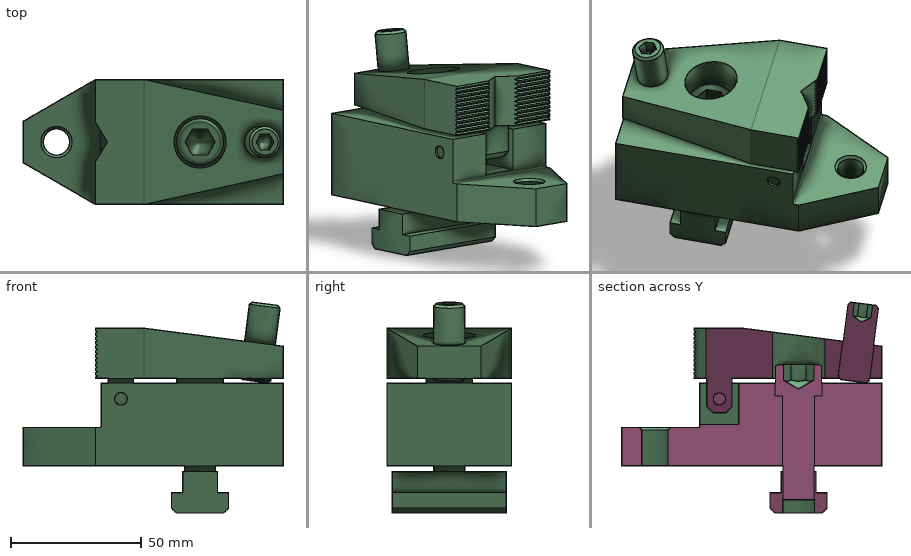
import cadquery as cq
import math


LENGTH = 100.0
WIDTH = 48.0
BASE_HEIGHT = 31.9
FOOT_HEIGHT = 14.8
NOSE_WIDTH = 16.0
NOSE_ANGLE = 30.0
BLOCK_FRONT_X = 30.0
CORNER_RADIUS = 0.6
FOOT_HOLE_X = 12.8
FOOT_HOLE_DIAMETER = 10.0
FOOT_HOLE_CHAMFER = 1.0
SLOT_WIDTH = 14.0
SLOT_FLOOR_Z = 16.0
SLOT_BACK_X = 45.0
NOSE_LENGTH = (WIDTH - NOSE_WIDTH) / 2 / math.tan(math.radians(NOSE_ANGLE))

PIN_X = 37.6
PIN_Z = 25.8
PIN_DIAMETER = 4.9
PIN_RECESS = 0.8
PIN_LENGTH = WIDTH - 2 * PIN_RECESS

JAW_BOTTOM_Z = 33.7
JAW_TOP_Z = 53.0
JAW_FRONT_X = NOSE_LENGTH
TAPER_START_X = 46.5
JAW_REAR_WIDTH = 24.4
SLOPE_ANGLE = 7.4
JAW_REAR_Z = JAW_TOP_Z - (LENGTH - TAPER_START_X) * math.tan(math.radians(SLOPE_ANGLE))
NOTCH_WIDTH = 15.2
NOTCH_DEPTH = 4.7
TONGUE_LENGTH = 9.8
TONGUE_CHAMFER = 2.5
TONGUE_BOTTOM_Z = 20.4

GROOVE_COUNT = 11
GROOVE_PITCH = 1.7
GROOVE_DEPTH = 0.7
GROOVE_MOUTH = 1.1
TOP_GROOVE_DROP = 1.4

SCREW_X = 68.0
SCREW_DIAMETER = 12.0
HEAD_DIAMETER = 18.0
HEAD_HEIGHT = 12.0
HEAD_SEAT_Z = 27.0
HEAD_FILLET = 1.2
HEAD_HEX_WIDTH = 10.0
HEAD_SOCKET_DEPTH = 6.0
HEAD_ACCESS_DIAMETER = 20.0
SCREW_LENGTH = 40.0
SCREW_END_Z = HEAD_SEAT_Z - SCREW_LENGTH

NUT_TOP_Z = -2.2
NUT_STEP_Z = -10.2
NUT_BOTTOM_Z = -18.1
NUT_NECK_WIDTH = 13.5
NUT_FLANGE_WIDTH = 22.0
NUT_CHAMFER = 1.9
NUT_LENGTH = 44.0

SET_SCREW_DIAMETER = 12.0
SET_SCREW_CHAMFER = 1.0
SET_SCREW_HEX_WIDTH = 6.0
SET_SCREW_SOCKET_DEPTH = 5.0
SET_SCREW_TIP_X = 89.1
SET_SCREW_LENGTH = 30.1
SOCKET_POINT_ANGLE = 120.0


def cylinder(diameter, x, bottom_z, top_z):
    """Upright cylinder on the centre plane."""
    return cq.Workplane("XY", origin=(x, 0, bottom_z)).circle(diameter / 2).extrude(top_z - bottom_z)


def side_profile(points, width):
    """Outline in the XZ plane, extruded to a width centred on Y = 0."""
    return cq.Workplane("XZ").polyline(points).close().extrude(width / 2, both=True)


def box(x_start, x_end, width, z_start, z_end):
    """Block centred on Y = 0."""
    return (
        cq.Workplane("XY", origin=((x_start + x_end) / 2, 0, z_start))
        .rect(x_end - x_start, width)
        .extrude(z_end - z_start)
    )


def hex_socket(hex_width, depth):
    """Hexagonal cutter going down from Z = 0, with a drill-point cone at its foot."""
    corner_diameter = hex_width / math.cos(math.radians(30))
    corner_radius = corner_diameter / 2
    cone_depth = corner_radius / math.tan(math.radians(SOCKET_POINT_ANGLE / 2))
    prism = cq.Workplane("XY").polygon(6, corner_diameter).extrude(-depth - cone_depth)
    drill = (
        cq.Workplane("XZ")
        .polyline([(0, 0), (corner_radius, 0), (corner_radius, -depth), (0, -depth - cone_depth)])
        .close()
        .revolve(360, (0, 0), (0, 1))
    )
    return prism.intersect(drill)


def pivot_cylinder(length):
    """Cylinder along Y on the pivot axis."""
    return cq.Workplane("XZ", origin=(PIN_X, 0, PIN_Z)).circle(PIN_DIAMETER / 2).extrude(length / 2, both=True)


def make_base():
    foot = (
        cq.Workplane("XY")
        .polyline([
            (0, -NOSE_WIDTH / 2),
            (NOSE_LENGTH, -WIDTH / 2),
            (LENGTH, -WIDTH / 2),
            (LENGTH, WIDTH / 2),
            (NOSE_LENGTH, WIDTH / 2),
            (0, NOSE_WIDTH / 2),
        ])
        .close()
        .extrude(FOOT_HEIGHT)
    )
    block = box(BLOCK_FRONT_X, LENGTH, WIDTH, 0, BASE_HEIGHT)
    base = foot.union(block)
    inner_corner = cq.selectors.NearestToPointSelector((BLOCK_FRONT_X, 0, FOOT_HEIGHT))
    base = base.edges(inner_corner).fillet(CORNER_RADIUS)

    foot_hole = cylinder(FOOT_HOLE_DIAMETER, FOOT_HOLE_X, 0, FOOT_HEIGHT)
    countersink = (
        cq.Workplane("XY", origin=(FOOT_HOLE_X, 0, FOOT_HEIGHT))
        .circle(FOOT_HOLE_DIAMETER / 2 + FOOT_HOLE_CHAMFER)
        .extrude(-FOOT_HOLE_CHAMFER, taper=45)
    )
    tongue_slot = box(BLOCK_FRONT_X, SLOT_BACK_X, SLOT_WIDTH, SLOT_FLOOR_Z, BASE_HEIGHT)
    screw_hole = cylinder(SCREW_DIAMETER, SCREW_X, 0, BASE_HEIGHT)
    head_recess = cylinder(HEAD_DIAMETER, SCREW_X, HEAD_SEAT_Z, BASE_HEIGHT)
    for cutter in (foot_hole, countersink, tongue_slot, screw_hole, head_recess, pivot_cylinder(WIDTH)):
        base = base.cut(cutter)
    return base


def make_pin():
    return pivot_cylinder(PIN_LENGTH)


def set_screw_cylinder():
    """Upright cylinder of the set screw, standing on the origin."""
    return cq.Workplane("XY").circle(SET_SCREW_DIAMETER / 2).extrude(SET_SCREW_LENGTH)


def place_set_screw(shape):
    """Tilt a shape built upright at the origin onto the set-screw axis."""
    end_face_radius = SET_SCREW_DIAMETER / 2 - SET_SCREW_CHAMFER
    tip_z = BASE_HEIGHT + end_face_radius * math.sin(math.radians(SLOPE_ANGLE))
    return shape.rotate((0, 0, 0), (0, 1, 0), SLOPE_ANGLE).translate((SET_SCREW_TIP_X, 0, tip_z))


def make_set_screw():
    shank = set_screw_cylinder().faces("|Z").edges().chamfer(SET_SCREW_CHAMFER)
    socket = hex_socket(SET_SCREW_HEX_WIDTH, SET_SCREW_SOCKET_DEPTH).translate((0, 0, SET_SCREW_LENGTH))
    return place_set_screw(shank.cut(socket))


def make_jaw():
    wedge = side_profile(
        [
            (JAW_FRONT_X, JAW_BOTTOM_Z),
            (LENGTH, JAW_BOTTOM_Z),
            (LENGTH, JAW_REAR_Z),
            (TAPER_START_X, JAW_TOP_Z),
            (JAW_FRONT_X, JAW_TOP_Z),
        ],
        WIDTH,
    )
    plan = (
        cq.Workplane("XY", origin=(0, 0, JAW_BOTTOM_Z))
        .polyline([
            (JAW_FRONT_X, -WIDTH / 2),
            (TAPER_START_X, -WIDTH / 2),
            (LENGTH, -JAW_REAR_WIDTH / 2),
            (LENGTH, JAW_REAR_WIDTH / 2),
            (TAPER_START_X, WIDTH / 2),
            (JAW_FRONT_X, WIDTH / 2),
            (JAW_FRONT_X, NOTCH_WIDTH / 2),
            (JAW_FRONT_X + NOTCH_DEPTH, 0),
            (JAW_FRONT_X, -NOTCH_WIDTH / 2),
        ])
        .close()
        .extrude(JAW_TOP_Z - JAW_BOTTOM_Z)
    )
    jaw = wedge.intersect(plan)

    for index in range(GROOVE_COUNT):
        groove_z = JAW_TOP_Z - TOP_GROOVE_DROP - index * GROOVE_PITCH
        groove = side_profile(
            [
                (JAW_FRONT_X, groove_z - GROOVE_MOUTH / 2),
                (JAW_FRONT_X + GROOVE_DEPTH, groove_z),
                (JAW_FRONT_X, groove_z + GROOVE_MOUTH / 2),
            ],
            WIDTH,
        )
        jaw = jaw.cut(groove)

    tongue = box(
        PIN_X - TONGUE_LENGTH / 2, PIN_X + TONGUE_LENGTH / 2, SLOT_WIDTH, TONGUE_BOTTOM_Z, JAW_BOTTOM_Z
    )
    tongue = tongue.faces("<Z").edges("|Y").chamfer(TONGUE_CHAMFER)
    head_access = cylinder(HEAD_ACCESS_DIAMETER, SCREW_X, JAW_BOTTOM_Z, JAW_TOP_Z)
    set_screw_hole = place_set_screw(set_screw_cylinder())
    jaw = jaw.union(tongue).cut(pivot_cylinder(WIDTH))
    return jaw.cut(head_access).cut(set_screw_hole)


def make_cap_screw():
    head_top_z = HEAD_SEAT_Z + HEAD_HEIGHT
    head = cylinder(HEAD_DIAMETER, SCREW_X, HEAD_SEAT_Z, head_top_z).faces(">Z").edges().fillet(HEAD_FILLET)
    shank = cylinder(SCREW_DIAMETER, SCREW_X, SCREW_END_Z, HEAD_SEAT_Z)
    socket = hex_socket(HEAD_HEX_WIDTH, HEAD_SOCKET_DEPTH).translate((SCREW_X, 0, head_top_z))
    return head.union(shank).cut(socket)


def make_nut():
    neck_left = SCREW_X - NUT_NECK_WIDTH / 2
    neck_right = SCREW_X + NUT_NECK_WIDTH / 2
    flange_left = SCREW_X - NUT_FLANGE_WIDTH / 2
    flange_right = SCREW_X + NUT_FLANGE_WIDTH / 2
    flange = box(flange_left, flange_right, NUT_LENGTH, NUT_BOTTOM_Z, NUT_STEP_Z)
    flange = flange.faces("<Z").edges("|Y").chamfer(NUT_CHAMFER)
    neck = box(neck_left, neck_right, NUT_LENGTH, NUT_STEP_Z, NUT_TOP_Z)
    threaded_hole = cylinder(SCREW_DIAMETER, SCREW_X, NUT_BOTTOM_Z, NUT_TOP_Z)
    return flange.union(neck).cut(threaded_hole)


base = make_base()
pin = make_pin()
jaw = make_jaw()
cap_screw = make_cap_screw()
nut = make_nut()
set_screw = make_set_screw()

result = cq.Compound.makeCompound([
    base.solids().val(),
    pin.solids().val(),
    jaw.solids().val(),
    cap_screw.solids().val(),
    nut.solids().val(),
    set_screw.solids().val(),
])